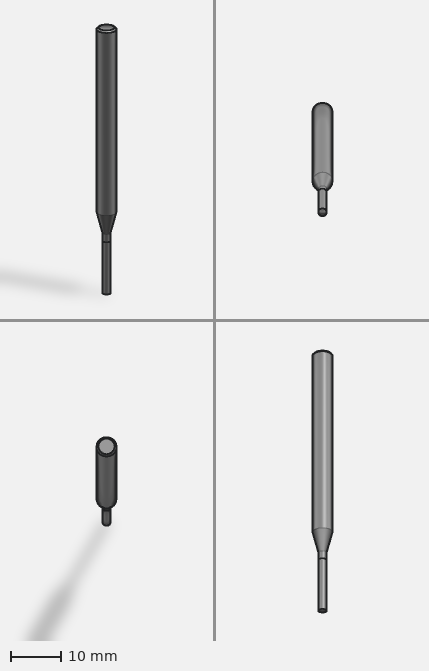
import cadquery as cq

overall_length = 57.0
point_height = 0.3
joint_height = 11.45
neck_top_height = 13.15
shank_start_height = 17.65

shank_diameter = 4.0
cutter_diameter = 1.65
end_chamfer = 0.4

shank_radius = shank_diameter / 2
cutter_radius = cutter_diameter / 2
bottom_z = -overall_length / 2
top_z = overall_length / 2
joint_z = bottom_z + joint_height


def revolve_about_z(profile):
    """Revolve a closed (radius, height) profile into one solid about the Z axis."""
    return cq.Workplane("XZ").polyline(profile).close().revolve(360, (0, 0), (0, 1))


def make_shank():
    """Chamfered cylindrical shank that tapers down to a short neck."""
    return revolve_about_z([
        (0, joint_z),
        (cutter_radius, joint_z),
        (cutter_radius, bottom_z + neck_top_height),
        (shank_radius, bottom_z + shank_start_height),
        (shank_radius, top_z - end_chamfer),
        (shank_radius - end_chamfer, top_z),
        (0, top_z),
    ])


def make_cutter():
    """Slim cutter with a shallow conical point, butted against the neck."""
    return revolve_about_z([
        (0, bottom_z),
        (cutter_radius, bottom_z + point_height),
        (cutter_radius, joint_z),
        (0, joint_z),
    ])


shank = make_shank()
cutter = make_cutter()

result = cq.Compound.makeCompound([shank.val(), cutter.val()])